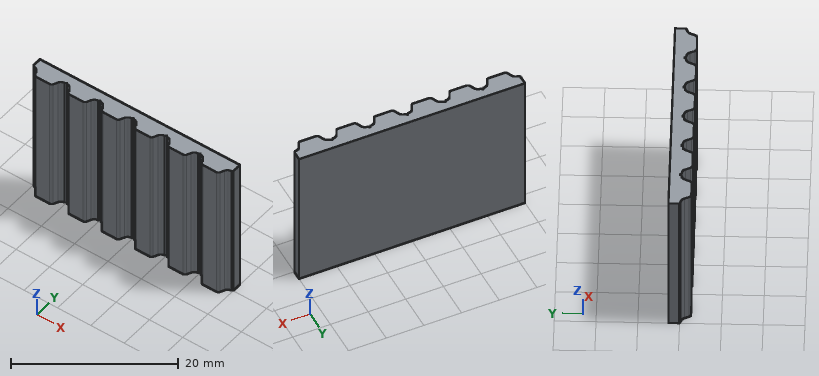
import cadquery as cq
import math

length = 30.0
thickness = 2.7
width = 20.0
tooth_count = 6
pitch = length / tooth_count

root_depth = 1.47
notch_depth = 1.3
tip_width = 2.0
tip_radius = 0.4
root_radius = 0.75
flank_angle = 25.0

back_y = thickness / 2
tip_y = -thickness / 2
root_y = back_y - root_depth
notch_y = back_y - notch_depth

arc_turn = math.radians(90 - flank_angle)


def arc_offset(radius, turn):
    """X and Y distance covered by an arc that starts parallel to X."""
    return radius * math.sin(turn), radius * (1 - math.cos(turn))


tip_half = tip_width / 2
tip_run, tip_rise = arc_offset(tip_radius, arc_turn)
tip_mid_run, tip_mid_rise = arc_offset(tip_radius, arc_turn / 2)
root_run, root_rise = arc_offset(root_radius, arc_turn)
root_mid_run, root_mid_rise = arc_offset(root_radius, arc_turn / 2)

flank_height = (root_y - root_rise) - (tip_y + tip_rise)
flank_run = flank_height * math.tan(math.radians(flank_angle))
flank_low = (tip_half + tip_run, tip_y + tip_rise)
flank_high = (flank_low[0] + flank_run, root_y - root_rise)
root_end = (flank_high[0] + root_run, root_y)
tip_mid = (tip_half + tip_mid_run, tip_y + tip_mid_rise)
root_mid = (root_end[0] - root_mid_run, root_y - root_mid_rise)


def add_tooth(outline, axis_x):
    """Continue the outline across one tooth, from notch apex to notch apex."""
    def left(point):
        return axis_x - point[0], point[1]

    def right(point):
        return axis_x + point[0], point[1]

    tip_corner = (tip_half, tip_y)
    return (
        outline.lineTo(*left(root_end))
        .threePointArc(left(root_mid), left(flank_high))
        .lineTo(*left(flank_low))
        .threePointArc(left(tip_mid), left(tip_corner))
        .lineTo(*right(tip_corner))
        .threePointArc(right(tip_mid), right(flank_low))
        .lineTo(*right(flank_high))
        .threePointArc(right(root_mid), right(root_end))
        .lineTo(axis_x + pitch / 2, notch_y)
    )


profile = cq.Workplane("XY").moveTo(-length / 2, back_y).lineTo(-length / 2, notch_y)
for tooth in range(tooth_count):
    profile = add_tooth(profile, -length / 2 + (tooth + 0.5) * pitch)
profile = profile.lineTo(length / 2, back_y).close()

result = profile.extrude(width / 2, both=True)